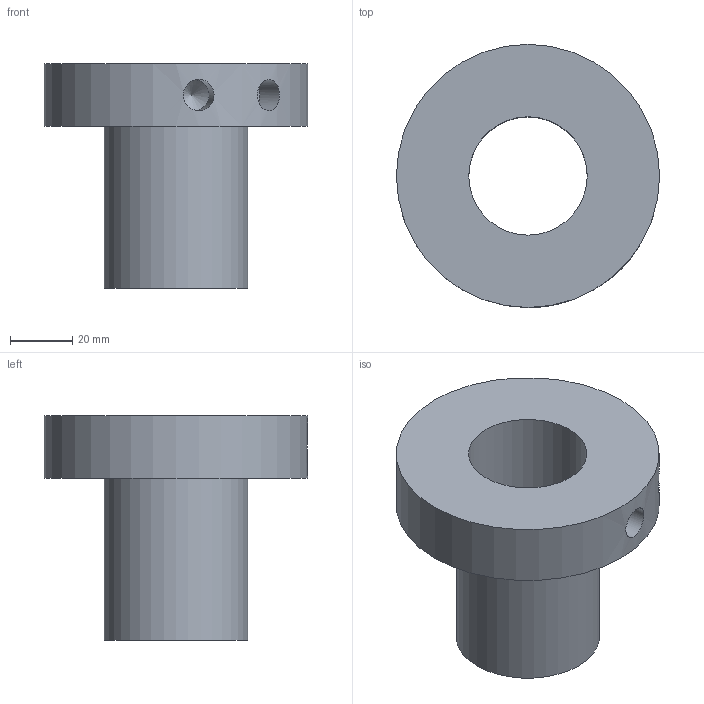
import cadquery as cq
import math

bore_diameter = 38.0
sleeve_diameter = 46.0
sleeve_length = 52.0
collar_diameter = 84.5
collar_thickness = 20.0

hole_diameter = 10.0
hole_angles = (-80.0, -45.0)
shoulder_radius = 33.0
drill_point_angle = 90.0

overall_height = sleeve_length + collar_thickness
hole_radius = hole_diameter / 2
hole_height = sleeve_length + collar_thickness / 2
point_length = hole_radius / math.tan(math.radians(drill_point_angle / 2))
cutter_end_radius = collar_diameter / 2 + hole_radius


def make_flanged_blank():
    """Sleeve and collar in one piece, bored right through along Z."""
    sleeve = cq.Workplane("XY").circle(sleeve_diameter / 2).extrude(sleeve_length)
    collar = (
        cq.Workplane("XY")
        .workplane(offset=sleeve_length)
        .circle(collar_diameter / 2)
        .extrude(collar_thickness)
    )
    bore = cq.Workplane("XY").circle(bore_diameter / 2).extrude(overall_height)
    return sleeve.union(collar).cut(bore)


def make_drill(angle):
    """Drill shape reaching radially into the collar rim at the given angle around Z."""
    half_profile = (
        cq.Workplane("XZ")
        .moveTo(shoulder_radius - point_length, 0)
        .lineTo(shoulder_radius, hole_radius)
        .lineTo(cutter_end_radius, hole_radius)
        .lineTo(cutter_end_radius, 0)
        .close()
    )
    drill = half_profile.revolve(360, (0, 0, 0), (1, 0, 0))
    return drill.translate((0, 0, hole_height)).rotate((0, 0, 0), (0, 0, 1), angle)


flanged_bushing = make_flanged_blank()
for hole_angle in hole_angles:
    flanged_bushing = flanged_bushing.cut(make_drill(hole_angle))

result = cq.Compound.makeCompound([flanged_bushing.solids().val()])